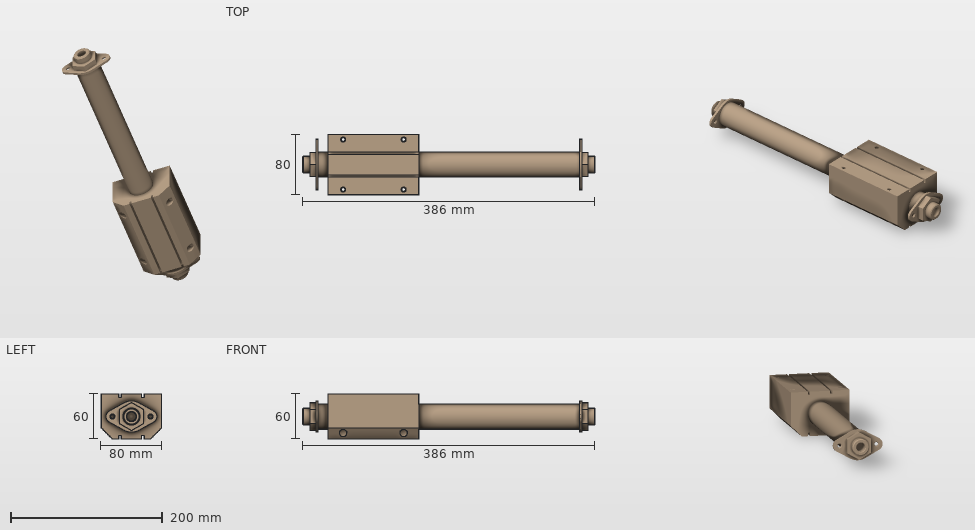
import cadquery as cq
import math

overall_length = 386.0
tube_diameter = 33.5
stud_length = 9.3
stud_diameter = 22.5
stud_chamfer = 1.0
nut_length = 8.0
nut_across_flats = 32.0
flange_thickness = 3.0
flange_height = 41.3
ear_spacing = 50.0
ear_radius = 8.5
port_diameter = 12.0
port_chamfer = 0.8
port_depth = stud_length + nut_length

small_hole_diameter = 5.0
small_hole_chamfer = 0.8

block_start = 33.2
block_length = 120.0
block_width = 80.0
block_height = 60.0
block_chamfer = 15.0
groove_spacing = 30.0
groove_width = 3.0
groove_depth = 4.5
screw_spacing_x = 80.0
screw_spacing_y = 66.0
counterbore_diameter = 9.5
counterbore_depth = block_chamfer

block_center_x = block_start + block_length / 2
nut_start = stud_length
flange_start = nut_start + nut_length
tube_start = flange_start + flange_thickness


def section_at(x):
    """Sketch plane across the tube axis: local x is +Y, local y is +Z, extruding toward +X."""
    return cq.Workplane("YZ", origin=(x, 0, 0))


def make_hole_mouth(center, inward, diameter=small_hole_diameter, chamfer=small_hole_chamfer):
    """Cone that bevels the rim of a round hole; inward points from the rim into the hole."""
    return cq.Workplane(cq.Solid.makeCone(diameter / 2 + chamfer, diameter / 2, chamfer, center, inward))


def make_chamfered_hole(start, end):
    """Small round through hole from start to end, bevelled at its start."""
    depth = (end - start).Length
    hole = cq.Workplane(cq.Solid.makeCylinder(small_hole_diameter / 2, depth, start, end - start))
    return hole.union(make_hole_mouth(start, end - start))


def make_stud():
    stud = section_at(0).circle(stud_diameter / 2).extrude(stud_length)
    return stud.faces("<X").chamfer(stud_chamfer)


def make_nut():
    """Hexagon with two corners on the Z axis and two flats facing +Y and -Y."""
    corner_radius = nut_across_flats / 2 / math.cos(math.pi / 6)
    corners = [
        (corner_radius * math.sin(i * math.pi / 3), corner_radius * math.cos(i * math.pi / 3))
        for i in range(6)
    ]
    return section_at(nut_start).polyline(corners).close().extrude(nut_length)


def make_flange():
    """Oval plate: a middle arc and two ear arcs joined by their common tangents."""
    middle_radius = flange_height / 2
    ear_y = ear_spacing / 2
    tangent_cos = (middle_radius - ear_radius) / ear_y
    tangent_sin = math.sqrt(1 - tangent_cos**2)
    middle_y = middle_radius * tangent_cos
    middle_z = middle_radius * tangent_sin
    ear_end_y = ear_y + ear_radius * tangent_cos
    ear_end_z = ear_radius * tangent_sin
    plate = (
        section_at(flange_start)
        .moveTo(-middle_y, middle_z)
        .threePointArc((0, middle_radius), (middle_y, middle_z))
        .lineTo(ear_end_y, ear_end_z)
        .threePointArc((ear_y + ear_radius, 0), (ear_end_y, -ear_end_z))
        .lineTo(middle_y, -middle_z)
        .threePointArc((0, -middle_radius), (-middle_y, -middle_z))
        .lineTo(-ear_end_y, -ear_end_z)
        .threePointArc((-ear_y - ear_radius, 0), (-ear_end_y, ear_end_z))
        .close()
        .extrude(flange_thickness)
    )
    for side in (-1, 1):
        hole_start = cq.Vector(flange_start, side * ear_y, 0)
        hole_end = cq.Vector(tube_start, side * ear_y, 0)
        plate = plate.cut(make_chamfered_hole(hole_start, hole_end))
        plate = plate.cut(make_hole_mouth(hole_end, hole_start - hole_end))
    return plate


def make_port():
    """Blind bore in the stud tip with a chamfered mouth."""
    bore = section_at(0).circle(port_diameter / 2).extrude(port_depth)
    mouth = make_hole_mouth(cq.Vector(0, 0, 0), cq.Vector(1, 0, 0), port_diameter, port_chamfer)
    return bore.union(mouth)


def make_guide_tube():
    left_fitting = make_stud().union(make_nut()).union(make_flange()).cut(make_port())
    right_fitting = left_fitting.mirror("YZ", (overall_length / 2, 0, 0))
    tube = section_at(tube_start).circle(tube_diameter / 2).extrude(overall_length - 2 * tube_start)
    return tube.union(left_fitting).union(right_fitting)


def make_block():
    block = section_at(block_start).rect(block_width, block_height).extrude(block_length)
    block = block.faces("<Z").edges("|X").chamfer(block_chamfer)

    bore = section_at(block_start).circle(tube_diameter / 2).extrude(block_length)
    block = block.cut(bore)

    for side in (-1, 1):
        for face in (-1, 1):
            groove = cq.Workplane("XY").box(block_length, groove_width, groove_depth)
            groove_z = face * (block_height - groove_depth) / 2
            block = block.cut(groove.translate((block_center_x, side * groove_spacing / 2, groove_z)))

    for side_x in (-1, 1):
        for side_y in (-1, 1):
            screw_x = block_center_x + side_x * screw_spacing_x / 2
            screw_y = side_y * screw_spacing_y / 2
            top = cq.Vector(screw_x, screw_y, block_height / 2)
            bottom = cq.Vector(screw_x, screw_y, -block_height / 2)
            counterbore = cq.Solid.makeCylinder(counterbore_diameter / 2, counterbore_depth, bottom)
            block = block.cut(make_chamfered_hole(top, bottom))
            block = block.cut(cq.Workplane(counterbore))
    return block


guide_tube = make_guide_tube()
block = make_block()

result = cq.Compound.makeCompound([guide_tube.val(), block.val()])